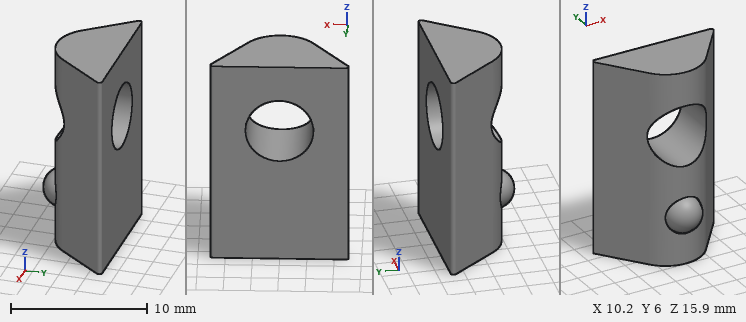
import cadquery as cq
import math

length = 15.9
width = 10.15
depth = 5.0
nose_radius = 3.0
corner_radius = 0.22

hole_diameter = 5.0
hole_height = 10.6

ball_radius = 1.5
ball_height = 4.0
overall_depth = 6.0
ball_center = (0, ball_radius - overall_depth, ball_height)


def make_profile():
    """Round nose and rounded corners joined by tangent flanks, closed by a flat back."""
    corner_x = width / 2 - corner_radius
    corner_y = -corner_radius
    nose_center_y = nose_radius - depth

    rise = corner_y - nose_center_y
    center_distance = math.hypot(corner_x, rise)
    center_slope = math.atan2(rise, corner_x)
    flank_angle = center_slope + math.asin((nose_radius - corner_radius) / center_distance)

    nose_end_x = nose_radius * math.sin(flank_angle)
    nose_end_y = nose_center_y - nose_radius * math.cos(flank_angle)
    flank_end_x = corner_x + corner_radius * math.sin(flank_angle)
    flank_end_y = corner_y - corner_radius * math.cos(flank_angle)

    return (
        cq.Workplane("XY")
        .moveTo(-nose_end_x, nose_end_y)
        .threePointArc((0, -depth), (nose_end_x, nose_end_y))
        .lineTo(flank_end_x, flank_end_y)
        .tangentArcPoint((corner_x, 0), relative=False)
        .lineTo(-corner_x, 0)
        .tangentArcPoint((-flank_end_x, flank_end_y), relative=False)
        .close()
    )


def make_ball():
    """Ball that rests in the closed end of its seat."""
    return cq.Workplane("XY").sphere(ball_radius).translate(ball_center)


def make_cross_hole():
    return (
        cq.Workplane("XZ")
        .center(0, hole_height)
        .circle(hole_diameter / 2)
        .extrude(depth)
    )


def make_ball_seat():
    """Round-ended bore: straight from the nose to the ball centre, then ball-shaped."""
    return (
        cq.Workplane("XY", origin=ball_center)
        .moveTo(0, ball_radius)
        .radiusArc((ball_radius, 0), ball_radius)
        .lineTo(ball_radius, -ball_radius)
        .lineTo(0, -ball_radius)
        .close()
        .revolve(360, (0, 0), (0, 1))
    )


def make_block():
    """Prism with the cross hole and the ball seat."""
    prism = make_profile().extrude(length)
    return prism.cut(make_cross_hole()).cut(make_ball_seat())


block = make_block()
ball = make_ball()

result = cq.Compound.makeCompound([block.val(), ball.val()])